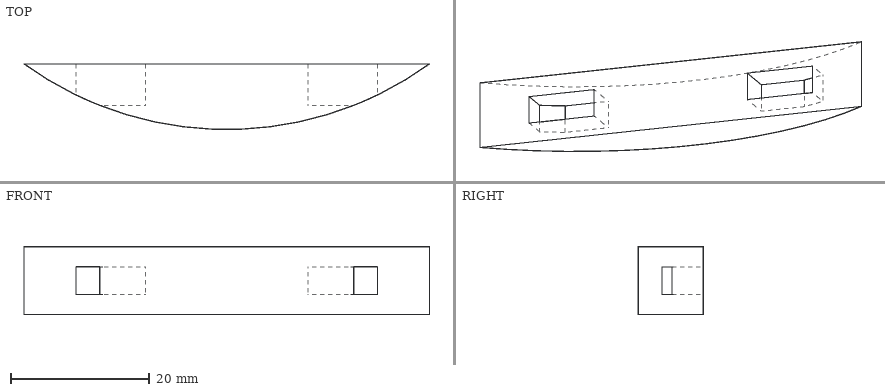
import cadquery as cq
import math

arc_radius = 50.0
segment_depth = 9.5
height = 9.8

pocket_width = 10.0
pocket_depth = 6.0
pocket_height = 4.0
rib_width = 23.5

back_y = segment_depth - arc_radius
half_chord = math.sqrt(arc_radius**2 - back_y**2)
pocket_center_x = (rib_width + pocket_width) / 2


def segment_body():
    """Flat-backed body with its arc bulging toward -Y."""
    return (
        cq.Workplane("XY")
        .moveTo(-half_chord, back_y)
        .threePointArc((0, -arc_radius), (half_chord, back_y))
        .close()
        .extrude(height)
    )


def back_pockets():
    """Pair of boxes reaching from the flat back face toward the arc."""
    return (
        cq.Workplane("XZ", origin=(0, back_y, height / 2))
        .pushPoints([(-pocket_center_x, 0), (pocket_center_x, 0)])
        .rect(pocket_width, pocket_height)
        .extrude(pocket_depth)
    )


result = segment_body().cut(back_pockets())